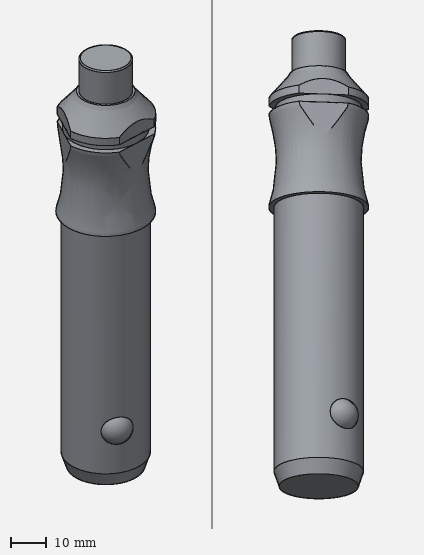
import cadquery as cq

total_height = 132.0
shank_top = 82.3
collar_top = 83.0
groove_bottom = 109.3
groove_top = 111.7
cone_bottom = 114.1
shoulder_edge = 120.0
shoulder_top = 121.4

shank_radius = 12.5
tip_radius = 11.1
tip_length = 4.4

handle_radius = 14.0
waist_end_radius = 13.9
waist_radius = 11.9
waist_top = 108.2
waist_middle = (collar_top + waist_top) / 2
groove_radius = 12.1

shoulder_edge_radius = 9.0
shoulder_radius = 8.2
button_radius = 7.5
button_chamfer = 0.4

flat_distance = groove_radius
flat_count = 3
first_flat_angle = -90.0

ball_radius = 4.8
ball_reach = 15.38
ball_height = 18.1


def make_body():
    """Revolve the pin profile, drawn as radius against height, about Z."""
    profile = (
        cq.Workplane("XZ")
        .moveTo(0, 0)
        .lineTo(tip_radius, 0)
        .lineTo(shank_radius, tip_length)
        .lineTo(shank_radius, shank_top)
        .lineTo(handle_radius, shank_top)
        .lineTo(waist_end_radius, collar_top)
        .threePointArc((waist_radius, waist_middle), (waist_end_radius, waist_top))
        .lineTo(handle_radius, groove_bottom)
        .lineTo(groove_radius, groove_bottom)
        .lineTo(groove_radius, groove_top)
        .lineTo(handle_radius, groove_top)
        .lineTo(handle_radius, cone_bottom)
        .lineTo(shoulder_edge_radius, shoulder_edge)
        .lineTo(shoulder_radius, shoulder_top)
        .lineTo(button_radius, shoulder_top)
        .lineTo(button_radius, total_height - button_chamfer)
        .lineTo(button_radius - button_chamfer, total_height)
        .lineTo(0, total_height)
        .close()
    )
    return profile.revolve(360, (0, 0, 0), (0, 1, 0))


def make_flat_cutter(angle):
    """Block outside one flat, from the waist up to the shoulder."""
    block_depth = handle_radius
    block_width = 2 * handle_radius
    return (
        cq.Workplane("XY", origin=(0, 0, waist_middle))
        .center(flat_distance + block_depth / 2, 0)
        .rect(block_depth, block_width)
        .extrude(shoulder_top - waist_middle)
        .rotate((0, 0, 0), (0, 0, 1), angle)
    )


def make_ball(side):
    """Locking ball partly sunk in the shank; side is -1 or 1 along X."""
    center_x = side * (ball_reach - ball_radius)
    return cq.Workplane("XY").sphere(ball_radius).translate((center_x, 0, ball_height))


result = make_body()
for index in range(flat_count):
    result = result.cut(make_flat_cutter(first_flat_angle + index * 360 / flat_count))
for side in (-1, 1):
    result = result.union(make_ball(side))